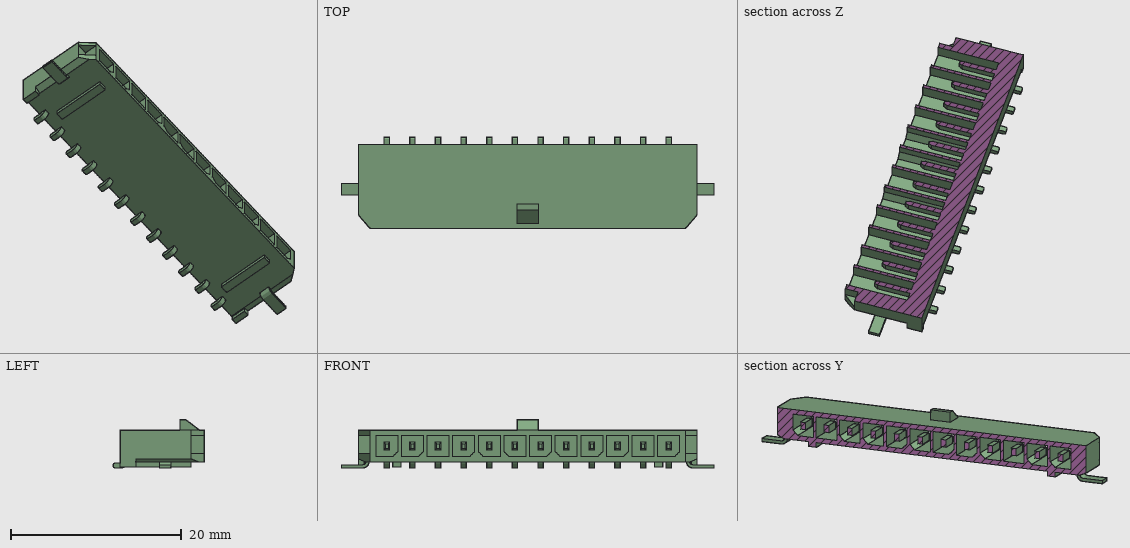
import cadquery as cq

body_width = 39.65
body_depth = 9.85
body_bottom = 0.7
body_top = 4.45
half_width = body_width / 2

corner_x = 1.35
corner_y = 1.55
notch_bottom = 1.7
notch_top = body_top - 0.65

bevel_width = 0.85
bevel_height = 0.4
foot_width = 0.7
foot_length = 1.85
standoff = 0.15

contact_count = 12
contact_span = 33.0
contact_pitch = contact_span / (contact_count - 1)
contact_z = 2.58

cavity_width = 2.58
cavity_height = 2.5
cavity_depth = 7.4
key_size = 0.6
cavity_keys = [
    "right", "right", "none", "right", "left", "left",
    "right", "left", "right", "right", "none", "right",
]

pin_width = 0.65
pin_height = 0.9
pin_start = 3.05
pin_embed = 0.45
tip_length = 0.45
tip_width = 0.35
tip_height = 0.52
tail_thickness = 0.6
tail_end = 10.7
tail_length = 0.87
tail_bend = 0.87
tail_rounding = 0.25

skid_width = 1.0
skid_offset = 1.2

overall_width = 43.65
tab_width = 1.35
tab_front = 3.95
tab_thickness = 0.4
tab_bend_inner = 0.4
tab_riser_x = 18.55
tab_riser_top = 1.75

latch_width = 2.5
latch_height = 1.22
latch_back = 2.9
latch_crest = 2.2
latch_toe = 0.55


def box(x_range, y_range, z_range):
    """Box between the given limits along each axis."""
    size = [limits[1] - limits[0] for limits in (x_range, y_range, z_range)]
    return cq.Workplane("XY").box(*size, centered=False).translate((x_range[0], y_range[0], z_range[0]))


def both_sides(shape):
    """The shape together with its mirror image across the middle of the part."""
    return shape.union(shape.mirror("YZ"))


def make_housing():
    """Block with cut front corners and sloped lower side edges."""
    bevel_inner = half_width - bevel_width
    bevel_top = body_bottom + bevel_height
    block = (
        cq.Workplane("XZ")
        .polyline([
            (-bevel_inner, body_bottom),
            (bevel_inner, body_bottom),
            (half_width, bevel_top),
            (half_width, body_top),
            (-half_width, body_top),
            (-half_width, bevel_top),
        ])
        .close()
        .extrude(-body_depth)
    )
    corner = (
        cq.Workplane("XY")
        .polyline([
            (-half_width, 0),
            (-half_width + corner_x, 0),
            (-half_width, corner_y),
        ])
        .close()
        .extrude(body_top)
    )
    notch = box((-half_width, -half_width + corner_x), (0, corner_y), (notch_bottom, notch_top))
    return block.cut(both_sides(corner)).cut(both_sides(notch))


def make_feet():
    """Rear corner feet that fill in the sloped side edges."""
    foot = box(
        (-half_width, -half_width + foot_width),
        (body_depth - foot_length, body_depth),
        (standoff, body_bottom + bevel_height),
    )
    return both_sides(foot)


def make_skids():
    """Ribs running along Y beside the outermost contacts."""
    skid_x = -contact_span / 2 + skid_offset
    skid = box(
        (skid_x - skid_width / 2, skid_x + skid_width / 2),
        (corner_y, body_depth - foot_length),
        (standoff, body_bottom),
    )
    return both_sides(skid)


def make_latch():
    """Ramp rising from the front to a flat crest."""
    return (
        cq.Workplane("YZ")
        .polyline([
            (latch_toe, body_top),
            (latch_crest, body_top + latch_height),
            (latch_back, body_top + latch_height),
            (latch_back, body_top),
        ])
        .close()
        .extrude(latch_width / 2, both=True)
    )


def make_tabs():
    """Bent strips that rise into the housing and lie flat outside it."""
    outer_radius = tab_bend_inner + tab_thickness
    bend_x = tab_riser_x + outer_radius
    tab = (
        cq.Workplane("XZ", origin=(0, tab_front, 0))
        .moveTo(overall_width / 2, 0)
        .lineTo(bend_x, 0)
        .radiusArc((tab_riser_x, outer_radius), outer_radius)
        .lineTo(tab_riser_x, tab_riser_top)
        .lineTo(tab_riser_x + tab_thickness, tab_riser_top)
        .lineTo(tab_riser_x + tab_thickness, outer_radius)
        .radiusArc((bend_x, tab_thickness), -tab_bend_inner)
        .lineTo(overall_width / 2, tab_thickness)
        .close()
        .extrude(-tab_width)
    )
    return both_sides(tab)


def make_cavity(x, key):
    """Square contact cavity with the keyed lower corner cut off."""
    cavity = cq.Workplane("XZ").center(x, contact_z).rect(cavity_width, cavity_height).extrude(-cavity_depth)
    if key == "left":
        return cavity.edges("<X and <Z").chamfer(key_size)
    if key == "right":
        return cavity.edges(">X and <Z").chamfer(key_size)
    return cavity


def make_pin(x):
    """Contact pin with a tapered tip, rooted in the back wall of its cavity."""
    tip_base = pin_start + tip_length
    tip = (
        cq.Workplane("XZ", origin=(x, pin_start, contact_z))
        .rect(tip_width, tip_height)
        .workplane(offset=-tip_length)
        .rect(pin_width, pin_height)
        .loft()
    )
    shank = (
        cq.Workplane("XZ", origin=(x, tip_base, contact_z))
        .rect(pin_width, pin_height)
        .extrude(-(cavity_depth + pin_embed - tip_base))
    )
    return shank.union(tip)


def make_tail(x):
    """Solder tail that bends down out of the housing and runs out past its rear."""
    bend_y = tail_end - tail_length
    riser_y = bend_y - tail_bend
    riser_top = body_bottom + tail_thickness
    tail = (
        cq.Workplane("YZ", origin=(x, 0, 0))
        .moveTo(tail_end, 0)
        .lineTo(bend_y, 0)
        .radiusArc((riser_y, tail_bend), tail_bend)
        .lineTo(riser_y, riser_top)
        .lineTo(riser_y + tail_thickness, riser_top)
        .lineTo(riser_y + tail_thickness, tail_bend)
        .radiusArc((bend_y, tail_thickness), -(tail_bend - tail_thickness))
        .lineTo(tail_end, tail_thickness)
        .close()
        .extrude(pin_width / 2, both=True)
    )
    return tail.edges(">Y and |X").fillet(tail_rounding)


result = make_housing().union(make_feet()).union(make_skids()).union(make_latch()).union(make_tabs())
for index, key in enumerate(cavity_keys):
    contact_x = -contact_span / 2 + index * contact_pitch
    result = result.cut(make_cavity(contact_x, key))
    result = result.union(make_pin(contact_x)).union(make_tail(contact_x))